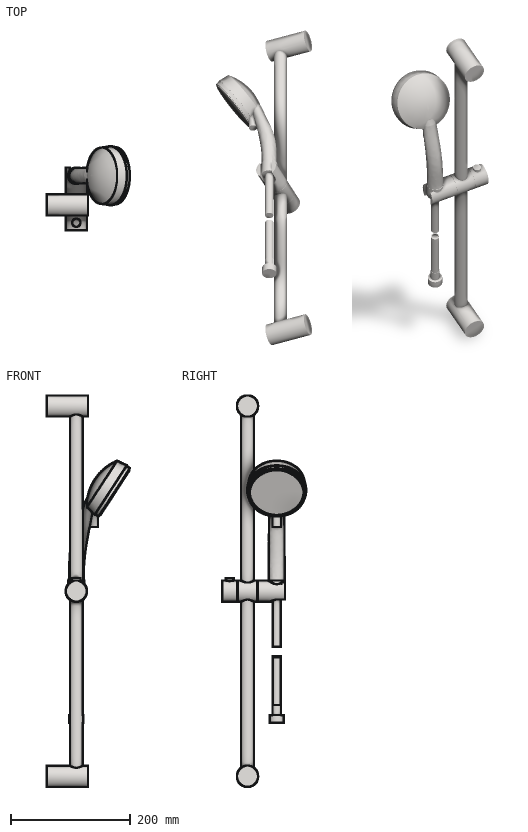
import cadquery as cq
import math


overall_height = 657.42
support_diameter = 36.0
support_back = -50.0
support_front = 20.0
rail_diameter = 22.0
support_offset = (overall_height - support_diameter) / 2

holder_y = 48.9
handle_foot_radius = 13.8
handle_foot_bottom = -6.0

slider_diameter = 36.0
slider_top = slider_diameter / 2
slider_knob_end = -42.6
holder_wall = 0.4
slider_holder_end = holder_y + handle_foot_radius + holder_wall
groove_spacing = 33.5
groove_width = 1.6
groove_depth = 0.4
button_diameter = 13.8
button_y = -30.0
button_top = 22.0
hose_slot_width = 22.0

head_tilt = 33.0
head_x = 42.78
head_z = 179.4
head_radius = 49.82
dome_rim_radius = 47.5
dome_depth = 14.4
band_depth = 18.0
face_gap_depth = 1.5
face_gap_radius = 48.8
face_radius = 48.4
head_depth = 25.0
spray_disc_radius = 45.0
spray_disc_height = 1.2

handle_sections = [
    (slider_top, -13.0, 12.6, 13.6),
    (50.0, -11.9, 13.8, 13.6),
    (82.0, -8.0, 17.8, 13.4),
    (106.0, -1.0, 22.3, 13.2),
    (127.0, 6.5, 27.3, 12.8),
    (147.6, 13.6, 33.0, 12.2),
]
tip_section = (178.0, 28.0, 46.0, 12.0)
stub_diameter = 13.8
stub_x = 29.6
stub_bottom = 107.6
stub_top = 132.0

hose_diameter = 13.8
upper_hose_bottom = -93.6
lower_hose_top = -109.0
hose_bore_diameter = 10.67
hose_bore_depth = 2.5
collar_diameter = 14.7
collar_top = -191.0
nut_diameter = 24.0
nut_top = -208.0
nut_bottom = -221.0


def upright_cylinder(diameter, x, y, bottom, top):
    return cq.Workplane("XY", origin=(x, y, bottom)).circle(diameter / 2).extrude(top - bottom)


def cylinder_along_y(diameter, start, end):
    return cq.Workplane("XZ", origin=(0, end, 0)).circle(diameter / 2).extrude(end - start)


def make_rail():
    rail = upright_cylinder(rail_diameter, 0, 0, -support_offset, support_offset)
    for z in (-support_offset, support_offset):
        support = cq.Workplane("YZ", origin=(support_back, 0, z)).circle(support_diameter / 2)
        rail = rail.union(support.extrude(support_front - support_back))
    return rail


def slider_groove(y):
    groove = cylinder_along_y(slider_diameter, y - groove_width / 2, y + groove_width / 2)
    core_diameter = slider_diameter - 2 * groove_depth
    return groove.cut(cylinder_along_y(core_diameter, y - groove_width / 2, y + groove_width / 2))


def make_slider():
    slider = cylinder_along_y(slider_diameter, slider_knob_end, slider_holder_end)
    for y in (-groove_spacing / 2, groove_spacing / 2):
        slider = slider.cut(slider_groove(y))
    slider = slider.union(upright_cylinder(button_diameter, 0, button_y, 0, button_top))

    slider = slider.cut(upright_cylinder(rail_diameter, 0, 0, -slider_top, slider_top))

    socket = upright_cylinder(2 * handle_foot_radius, 0, holder_y, handle_foot_bottom, slider_top)
    hose_hole = upright_cylinder(hose_slot_width, 0, holder_y, -slider_top, slider_top)
    hose_slot = (
        cq.Workplane("XY", origin=(0, holder_y, 0))
        .box(hose_slot_width, slider_diameter, slider_diameter, centered=(True, False, True))
    )
    return slider.cut(socket).cut(hose_hole).cut(hose_slot)


def section_wire(section):
    height, back, front, half_width = section
    plane = cq.Workplane("XY", origin=((back + front) / 2, holder_y, height))
    return plane.ellipse((front - back) / 2, half_width).wires().val()


def make_handle():
    foot = upright_cylinder(2 * handle_foot_radius, 0, holder_y, handle_foot_bottom, slider_top)
    wires = [section_wire(section) for section in handle_sections]
    grip = cq.Workplane(cq.Solid.makeLoft(wires))
    tip = cq.Workplane(cq.Solid.makeLoft([wires[-1], section_wire(tip_section)]))
    return foot.union(grip).union(tip)


def make_head():
    tilt = math.radians(head_tilt)
    plane = cq.Plane(
        origin=(head_x, holder_y, head_z),
        xDir=(-math.sin(tilt), 0, -math.cos(tilt)),
        normal=(0, -1, 0),
    )
    sphere_radius = (dome_rim_radius**2 + dome_depth**2) / (2 * dome_depth)
    half_angle = math.asin(dome_rim_radius / sphere_radius) / 2
    dome_middle = (
        sphere_radius * math.sin(half_angle),
        sphere_radius * (1 - math.cos(half_angle)) - dome_depth,
    )
    return (
        cq.Workplane(plane)
        .moveTo(0, -dome_depth)
        .threePointArc(dome_middle, (dome_rim_radius, 0))
        .lineTo(head_radius, band_depth)
        .lineTo(face_gap_radius, band_depth)
        .lineTo(face_gap_radius, band_depth + face_gap_depth)
        .lineTo(face_radius, head_depth)
        .lineTo(spray_disc_radius, head_depth)
        .lineTo(spray_disc_radius, head_depth + spray_disc_height)
        .lineTo(0, head_depth + spray_disc_height)
        .close()
        .revolve(360, (0, 0, 0), (0, 1, 0))
    )


def make_hand_shower():
    stub = upright_cylinder(stub_diameter, stub_x, holder_y, stub_bottom, stub_top)
    hose = upright_cylinder(hose_diameter, 0, holder_y, upper_hose_bottom, handle_foot_bottom)
    return make_head().union(make_handle()).union(stub).union(hose)


def make_lower_hose():
    hose = upright_cylinder(hose_diameter, 0, holder_y, collar_top, lower_hose_top)
    bore_bottom = lower_hose_top - hose_bore_depth
    hose = hose.cut(upright_cylinder(hose_bore_diameter, 0, holder_y, bore_bottom, lower_hose_top))
    collar = upright_cylinder(collar_diameter, 0, holder_y, nut_top, collar_top)
    nut = upright_cylinder(nut_diameter, 0, holder_y, nut_bottom, nut_top)
    return hose.union(collar).union(nut)


rail = make_rail()
slider = make_slider()
hand_shower = make_hand_shower()
lower_hose = make_lower_hose()

result = cq.Compound.makeCompound([rail.val(), slider.val(), hand_shower.val(), lower_hose.val()])